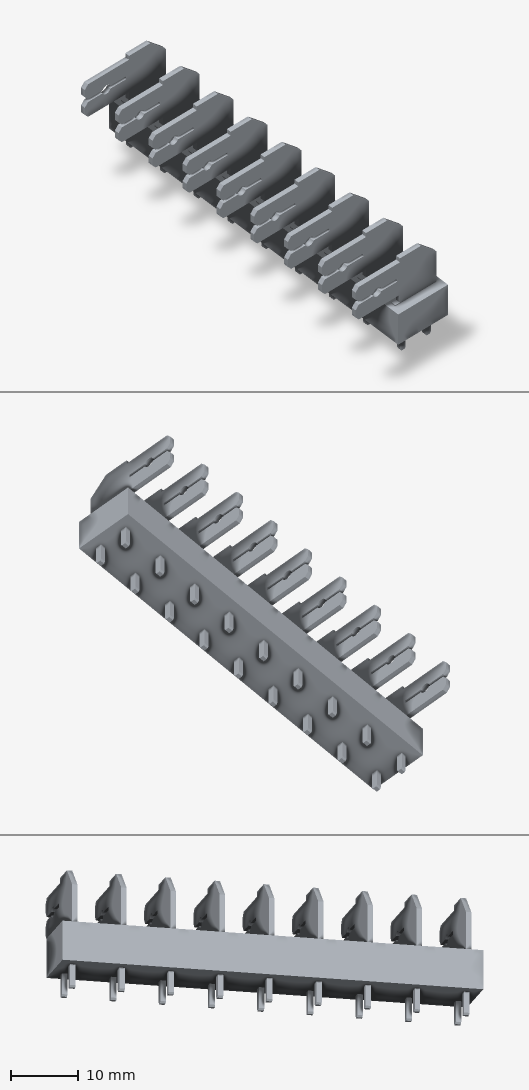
import cadquery as cq

HOUSING_LENGTH = 64.0
HOUSING_DEPTH = 9.85
HOUSING_HEIGHT = 6.0
HOUSING_BACK = HOUSING_DEPTH / 2

TERMINAL_COUNT = 9
TERMINAL_PITCH = 7.5
TERMINAL_THICKNESS = 0.8

PLATE_HEIGHT = 8.95
PLATE_WIDTH = 7.3
PLATE_SETBACK = 0.8
PLATE_BACK = HOUSING_BACK - PLATE_SETBACK
PLATE_FRONT = PLATE_BACK - PLATE_WIDTH
PLATE_TOP = HOUSING_HEIGHT + PLATE_HEIGHT
CORNER_CUT_DEPTH = 3.15
CORNER_CUT_HEIGHT = 3.0

FOOT_PROJECTION = 0.9
FOOT_HEIGHT = 0.2

BLADE_REACH = 16.8
BLADE_TIP = HOUSING_BACK - BLADE_REACH
BLADE_WIDTH = 6.45
BLADE_STEP = 0.8
BLADE_TOP = PLATE_TOP - BLADE_STEP
BLADE_BOTTOM = BLADE_TOP - BLADE_WIDTH
BLADE_CENTRE = (BLADE_TOP + BLADE_BOTTOM) / 2
TIP_CHAMFER_LENGTH = 0.65
TIP_CHAMFER_HEIGHT = 0.8
SLOT_WIDTH = 0.6
SLOT_CLEARANCE = 0.5
SLOT_END = PLATE_FRONT - SLOT_CLEARANCE
PRONG_WIDTH = (BLADE_WIDTH - SLOT_WIDTH) / 2
DETENT_DIAMETER = 1.65
DETENT_SETBACK = 4.3

LEG_WIDTH = 1.0
LEG_PROTRUSION = 3.5
LEG_SPACING = 5.0
LEG_CHAMFER_WIDTH = 0.2
LEG_CHAMFER_HEIGHT = 0.3
LEG_SETBACK = 2.4
BACK_LEG_CENTRE = HOUSING_BACK - LEG_SETBACK
LEG_CENTRES = [BACK_LEG_CENTRE, BACK_LEG_CENTRE - LEG_SPACING]

TERMINAL_POSITIONS = [
    (i - (TERMINAL_COUNT - 1) / 2) * TERMINAL_PITCH for i in range(TERMINAL_COUNT)
]


def sheet_box(y_min, y_max, z_min, z_max):
    """Block of terminal thickness, centred on x = 0, between the given Y and Z limits."""
    return cq.Workplane("XY").box(
        TERMINAL_THICKNESS, y_max - y_min, z_max - z_min, centered=(True, False, False)
    ).translate((0, y_min, z_min))


def make_plate():
    """Upright plate with a sloping upper back corner and a low foot in front."""
    plate = (
        cq.Workplane("YZ")
        .moveTo(PLATE_BACK, HOUSING_HEIGHT)
        .lineTo(PLATE_BACK, PLATE_TOP - CORNER_CUT_HEIGHT)
        .lineTo(PLATE_BACK - CORNER_CUT_DEPTH, PLATE_TOP)
        .lineTo(PLATE_FRONT, PLATE_TOP)
        .lineTo(PLATE_FRONT, HOUSING_HEIGHT)
        .close()
        .extrude(TERMINAL_THICKNESS / 2, both=True)
    )
    foot = sheet_box(
        PLATE_FRONT - FOOT_PROJECTION, PLATE_FRONT, HOUSING_HEIGHT, HOUSING_HEIGHT + FOOT_HEIGHT
    )
    return plate.union(foot)


def make_blade():
    """Two chamfered prongs on a short root, with a round detent across the slot."""
    root = sheet_box(SLOT_END, PLATE_FRONT, BLADE_BOTTOM, BLADE_TOP)
    prong_top = BLADE_BOTTOM + PRONG_WIDTH
    prong = (
        cq.Workplane("YZ")
        .moveTo(SLOT_END, BLADE_BOTTOM)
        .lineTo(BLADE_TIP + TIP_CHAMFER_LENGTH, BLADE_BOTTOM)
        .lineTo(BLADE_TIP, BLADE_BOTTOM + TIP_CHAMFER_HEIGHT)
        .lineTo(BLADE_TIP, prong_top - TIP_CHAMFER_HEIGHT)
        .lineTo(BLADE_TIP + TIP_CHAMFER_LENGTH, prong_top)
        .lineTo(SLOT_END, prong_top)
        .close()
        .extrude(TERMINAL_THICKNESS / 2, both=True)
    )
    upper_prong = prong.translate((0, 0, PRONG_WIDTH + SLOT_WIDTH))
    detent = (
        cq.Workplane("YZ")
        .center(BLADE_TIP + DETENT_SETBACK, BLADE_CENTRE)
        .circle(DETENT_DIAMETER / 2)
        .extrude(TERMINAL_THICKNESS, both=True)
    )
    return root.union(prong).union(upper_prong).cut(detent)


def make_leg(centre):
    """Straight leg with its lower front and back edges chamfered."""
    back = centre + LEG_WIDTH / 2
    front = centre - LEG_WIDTH / 2
    return (
        cq.Workplane("YZ")
        .moveTo(back, HOUSING_HEIGHT)
        .lineTo(back, -LEG_PROTRUSION + LEG_CHAMFER_HEIGHT)
        .lineTo(back - LEG_CHAMFER_WIDTH, -LEG_PROTRUSION)
        .lineTo(front + LEG_CHAMFER_WIDTH, -LEG_PROTRUSION)
        .lineTo(front, -LEG_PROTRUSION + LEG_CHAMFER_HEIGHT)
        .lineTo(front, HOUSING_HEIGHT)
        .close()
        .extrude(TERMINAL_THICKNESS / 2, both=True)
    )


def make_terminal(x):
    """One flat terminal: plate, forked blade and two legs in a single solid."""
    terminal = make_plate().union(make_blade())
    for centre in LEG_CENTRES:
        terminal = terminal.union(make_leg(centre))
    return terminal.translate((x, 0, 0))


def make_housing():
    """Bar with a rectangular through hole for every leg."""
    bar = cq.Workplane("XY").box(
        HOUSING_LENGTH, HOUSING_DEPTH, HOUSING_HEIGHT, centered=(True, True, False)
    )
    leg_holes = (
        cq.Workplane("XY")
        .pushPoints([(x, y) for x in TERMINAL_POSITIONS for y in LEG_CENTRES])
        .rect(TERMINAL_THICKNESS, LEG_WIDTH)
        .extrude(HOUSING_HEIGHT)
    )
    return bar.cut(leg_holes)


housing = make_housing()
terminals = [make_terminal(x) for x in TERMINAL_POSITIONS]

result = cq.Compound.makeCompound([housing.val(), *[terminal.val() for terminal in terminals]])